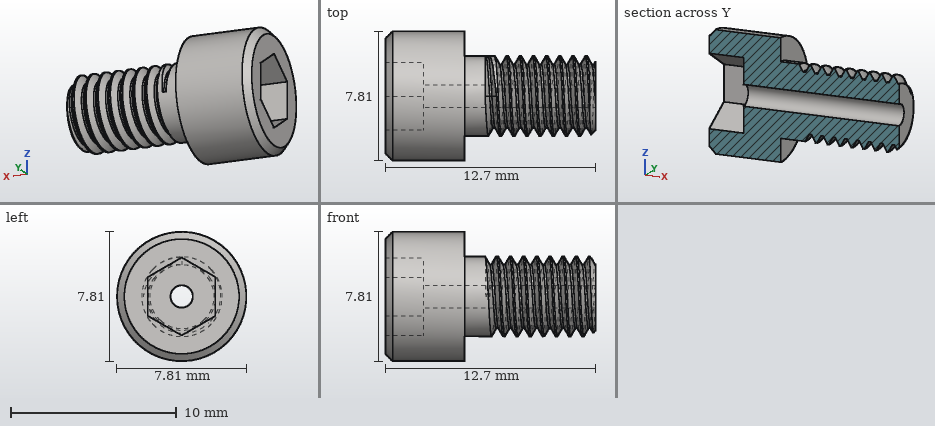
import cadquery as cq
import math

length = 12.7
head_diameter = 7.81
head_height = 4.79
head_chamfer = 0.45
shank_diameter = 4.83
tip_chamfer = 0.38

hex_across_flats = 4.06
hex_depth = 2.29
bore_diameter = 1.33

turns_per_length = 16
pitch = length / turns_per_length
thread_depth = 0.48
root_flat = pitch / 6
flank_slope = math.tan(math.radians(30))
thread_start = 6.03
first_groove_x = 6.16
lead_in_depth = 0.09
cutter_clearance = 0.01
blank_end = 15.24
groove_end = 13.21
envelope_chamfer = 1.02

shank_radius = shank_diameter / 2
root_radius = shank_radius - thread_depth


def cylinder_x(diameter, start, end):
    """Cylinder on the X axis between two X positions."""
    return cq.Workplane("YZ", origin=(start, 0, 0)).circle(diameter / 2).extrude(end - start)


def thread_section(floor_radius):
    """Trapezoidal groove section in the XZ plane, before the thread is turned onto X."""
    half_root = root_flat / 2
    reach = thread_depth + cutter_clearance
    half_mouth = half_root + reach * flank_slope
    return (
        cq.Workplane("XZ")
        .moveTo(floor_radius, -half_root)
        .lineTo(floor_radius + reach, -half_mouth)
        .lineTo(floor_radius + reach, half_mouth)
        .lineTo(floor_radius, half_root)
        .close()
    )


def onto_x_axis(solid, start):
    """Turn a solid built along Z so that Z becomes X and X becomes Y, then shift it."""
    return solid.rotate((0, 0, 0), (1, 1, 1), 120).translate((start, 0, 0))


def make_tip_envelope():
    """Oversize cylinder ending at the tip with its chamfer, used to trim the threaded blank."""
    oversize = shank_radius - tip_chamfer + envelope_chamfer
    return cylinder_x(2 * oversize, 0, length).faces(">X").chamfer(envelope_chamfer)


def make_lead_in():
    """Quarter turn of groove that deepens from the lead-in depth to full depth."""
    rise = pitch / 4
    start_radius = shank_radius - lead_in_depth
    drop = start_radius - root_radius
    taper = math.degrees(math.atan2(drop, rise))
    slant = math.hypot(rise, drop)
    path = cq.Wire.makeHelix(4 * slant, slant, start_radius, angle=-taper)
    return thread_section(start_radius).sweep(cq.Workplane(obj=path), isFrenet=True)


def make_groove():
    """Full-depth groove, from a quarter turn after the start to beyond the tip."""
    start = first_groove_x + pitch / 4
    path = cq.Wire.makeHelix(pitch, groove_end - start, root_radius)
    groove = thread_section(root_radius).sweep(cq.Workplane(obj=path), isFrenet=True)
    return onto_x_axis(groove.rotate((0, 0, 0), (0, 0, 1), 90), start)


head = cylinder_x(head_diameter, 0, head_height).faces("<X").chamfer(head_chamfer)

lead_in = onto_x_axis(make_lead_in(), first_groove_x)
plain_shank = cylinder_x(shank_diameter, head_height, thread_start)
blank = cylinder_x(shank_diameter, head_height, blank_end)
grooved_blank = blank.cut(make_groove()).cut(lead_in)
threaded_shank = grooved_blank.union(plain_shank).intersect(make_tip_envelope())

hex_socket = (
    cq.Workplane("YZ")
    .polygon(6, hex_across_flats / math.cos(math.pi / 6))
    .extrude(hex_depth)
    .rotate((0, 0, 0), (1, 0, 0), 90)
)
bore = cylinder_x(bore_diameter, 0, length)

result = head.union(threaded_shank).cut(hex_socket).cut(bore)